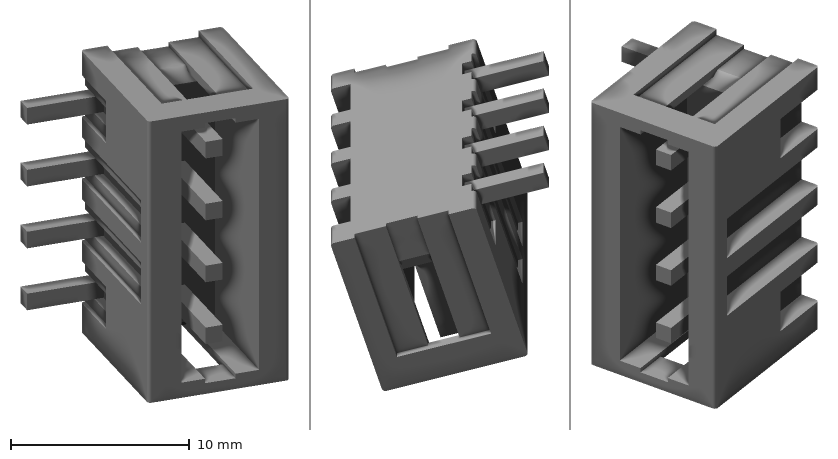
import cadquery as cq

body_length = 10.3
body_depth = 8.5
body_height = 17.33
corner_radius = 0.2

pin_count = 4
pin_pitch = 3.81
pin_size = 1.02
pin_middle_z = body_height / 2 + 0.15
tail_x = 0.99
tail_reach = 3.81
contact_end_x = 9.35

middle_y = 4.33
cavity_width = 4.65
cavity_back_x = 3.59
end_wall = 0.94
ramp_start_x = 2.62
ramp_drop = 0.65

recess_width = 5.5
recess_depth = 0.4
recess_end_x = 8.3
slot_width = 1.84
slot_depth = 0.65
ramp_low_z = slot_depth + ramp_drop

channel_height = 2.6
channel_depth = 0.26
groove_height = 1.11
groove_depth = 0.8
short_channel = 3.86
long_channel = 9.17

notch_depth = 1.18


def block(x_range, y_range, z_range):
    """Box between the given limits along each axis."""
    size = [high - low for low, high in (x_range, y_range, z_range)]
    corner = (x_range[0], y_range[0], z_range[0])
    return cq.Workplane("XY").box(*size, centered=False).translate(corner)


def around(middle, width):
    """Limits of a span centred on middle."""
    return (middle - width / 2, middle + width / 2)


def make_body():
    body = block((0, body_length), (0, body_depth), (0, body_height))
    return body.edges("|Z").fillet(corner_radius)


def make_cavity():
    """Space inside the housing, with a ramp between its rear wall and each end."""
    slope = ramp_drop / (cavity_back_x - ramp_start_x)
    ramp_end_x = ramp_start_x + (end_wall - slot_depth) / slope
    profile = [
        (body_length, end_wall),
        (ramp_end_x, end_wall),
        (cavity_back_x, ramp_low_z),
        (cavity_back_x, body_height - ramp_low_z),
        (ramp_end_x, body_height - end_wall),
        (body_length, body_height - end_wall),
    ]
    cavity = cq.Workplane("XZ").polyline(profile).close().extrude(cavity_width / 2, both=True)
    return cavity.translate((0, middle_y, 0))


def make_bottom_cut():
    """Stepped recess of the bottom face, its window into the cavity and the mouth groove."""
    recess = block((0, recess_end_x), around(middle_y, recess_width), (0, recess_depth))
    slot_profile = [
        (0, 0),
        (recess_end_x, 0),
        (recess_end_x, ramp_low_z),
        (cavity_back_x, ramp_low_z),
        (ramp_start_x, slot_depth),
        (0, slot_depth),
    ]
    slot = cq.Workplane("XZ").polyline(slot_profile).close().extrude(slot_width / 2, both=True)
    slot = slot.translate((0, middle_y, 0))
    groove_z = (slot_depth, end_wall)
    mouth_groove = block((recess_end_x, body_length), around(middle_y, slot_width), groove_z)
    return recess.union(slot).union(mouth_groove)


def make_pin(z):
    """Contact inside the cavity, overlapping the rear wall, and the tail outside it."""
    z_range = around(z, pin_size)
    contact = block((tail_x, contact_end_x), around(middle_y, pin_size), z_range)
    tail = block(around(tail_x, pin_size), (-tail_reach, middle_y), z_range)
    return contact.union(tail)


def make_channel(z, length):
    """Shallow channel with a narrower groove along its floor."""
    channel = block((0, length), (0, channel_depth), around(z, channel_height))
    groove = block((0, length), (0, groove_depth), around(z, groove_height))
    return channel.union(groove)


def make_notch(z, length):
    y_range = (body_depth - notch_depth, body_depth)
    return block((0, length), y_range, around(z, channel_height))


bottom_cut = make_bottom_cut()
top_cut = bottom_cut.mirror("XY").translate((0, 0, body_height))
result = make_body().cut(make_cavity()).cut(bottom_cut).cut(top_cut)

for index in range(pin_count):
    pin_z = pin_middle_z + (index - (pin_count - 1) / 2) * pin_pitch
    is_end_pin = index in (0, pin_count - 1)
    channel_length = short_channel if is_end_pin else long_channel
    result = result.cut(make_channel(pin_z, channel_length))
    result = result.cut(make_notch(pin_z, channel_length))
    result = result.union(make_pin(pin_z))